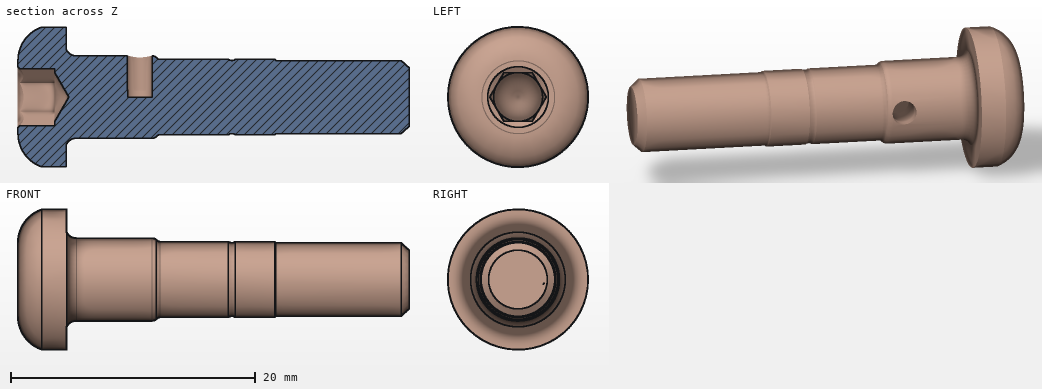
import cadquery as cq
import math

dome_end = 2.0
head_end = 4.0
neck_end = 4.77
shoulder_start = 10.95
shoulder_middle = 11.33
shoulder_end = 11.6
groove_start = 17.2
groove_end = 17.8
collar_end = 21.0
tip_chamfer_start = 31.33
total_length = 32.0

face_radius = 5.95 / 2
head_radius = 11.5 / 2
neck_radius = 3.87
shank_radius = 6.8 / 2
guide_radius = 6.2 / 2
pin_radius = 6.0 / 2
tip_radius = 4.8 / 2
shoulder_edge_drop = 0.13

step_length = 0.1

hex_across_flats = 4.0
socket_depth = 3.0
countersink_diameter = 4.95
countersink_half_angle = 45.0
drill_point_half_angle = 60.0

cross_hole_diameter = 2.0
cross_hole_x = 10.0
cross_hole_depth = shank_radius


def cone_along_x(base_x, base_radius, half_angle):
    """Cone with its base at base_x and its point toward +X."""
    height = base_radius / math.tan(math.radians(half_angle))
    triangle = cq.Workplane("XY").moveTo(base_x, 0).lineTo(base_x, base_radius)
    triangle = triangle.lineTo(base_x + height, 0).close()
    return triangle.revolve(360, (0, 0, 0), (1, 0, 0))


def turned_body():
    """Revolved screw body: domed head, shank, grooved guide and pin."""
    shoulder_middle_radius = shank_radius - shoulder_edge_drop
    fillet_drop = shoulder_middle_radius - guide_radius
    fillet_length = shoulder_end - shoulder_middle
    fillet_radius = (fillet_length**2 + fillet_drop**2) / (2 * fillet_drop)
    outline = (
        cq.Workplane("XY")
        .lineTo(0, face_radius)
        .tangentArcPoint((dome_end, head_radius), relative=False)
        .lineTo(head_end, head_radius)
        .lineTo(head_end, neck_radius)
    )
    neck_drop = neck_radius - shank_radius
    neck_length = neck_end - head_end
    neck_arc_radius = (neck_length**2 + neck_drop**2) / (2 * neck_drop)
    outline = (
        outline.radiusArc((neck_end, shank_radius), -neck_arc_radius)
        .lineTo(shoulder_start, shank_radius)
        .tangentArcPoint((shoulder_middle, shoulder_middle_radius), relative=False)
        .radiusArc((shoulder_end, guide_radius), -fillet_radius)
        .lineTo(groove_start, guide_radius)
        .threePointArc(((groove_start + groove_end) / 2, pin_radius), (groove_end, guide_radius))
        .lineTo(collar_end, guide_radius)
        .lineTo(collar_end + step_length, pin_radius)
        .lineTo(tip_chamfer_start, pin_radius)
        .lineTo(total_length, tip_radius)
        .lineTo(total_length, 0)
        .close()
    )
    return outline.revolve(360, (0, 0, 0), (1, 0, 0))


def hex_socket():
    """Hexagon with corners on +/-Y, a countersunk mouth and a conical bottom."""
    across_corners = hex_across_flats / math.cos(math.radians(30))
    hexagon = cq.Workplane("YZ").polygon(6, across_corners).extrude(socket_depth)
    mouth = cone_along_x(0, countersink_diameter / 2, countersink_half_angle)
    bottom = cone_along_x(socket_depth, hex_across_flats / 2, drill_point_half_angle)
    return hexagon.union(mouth).union(bottom)


def cross_hole():
    """Radial hole that enters from +Y."""
    entry = cq.Workplane("XZ", origin=(cross_hole_x, shank_radius, 0))
    return entry.circle(cross_hole_diameter / 2).extrude(cross_hole_depth)


result = turned_body().cut(hex_socket()).cut(cross_hole())